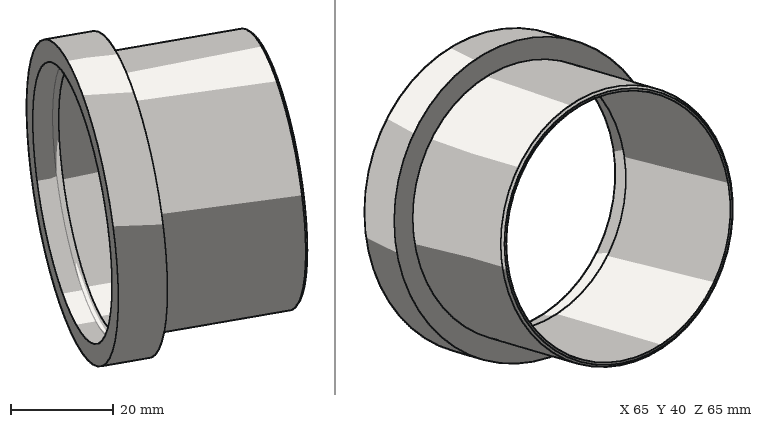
import cadquery as cq

flange_diameter = 65.0
body_diameter = 56.0
bore_diameter = 54.0
total_length = 40.0
flange_length = 10.0
recess_depth = 5.0
rim_chamfer = 0.5

flange_radius = flange_diameter / 2
body_radius = body_diameter / 2
bore_radius = bore_diameter / 2
step_fillet = body_radius - bore_radius
front = -total_length / 2
back = total_length / 2

half_section = (
    cq.Workplane("XY")
    .moveTo(body_radius, front)
    .lineTo(flange_radius, front)
    .lineTo(flange_radius, front + flange_length)
    .lineTo(body_radius, front + flange_length)
    .lineTo(body_radius, back - rim_chamfer)
    .lineTo(body_radius - rim_chamfer, back)
    .lineTo(bore_radius, back)
    .lineTo(bore_radius, front + recess_depth)
    .radiusArc((body_radius, front + recess_depth - step_fillet), step_fillet)
    .close()
)

result = half_section.revolve(360, (0, 0, 0), (0, 1, 0))